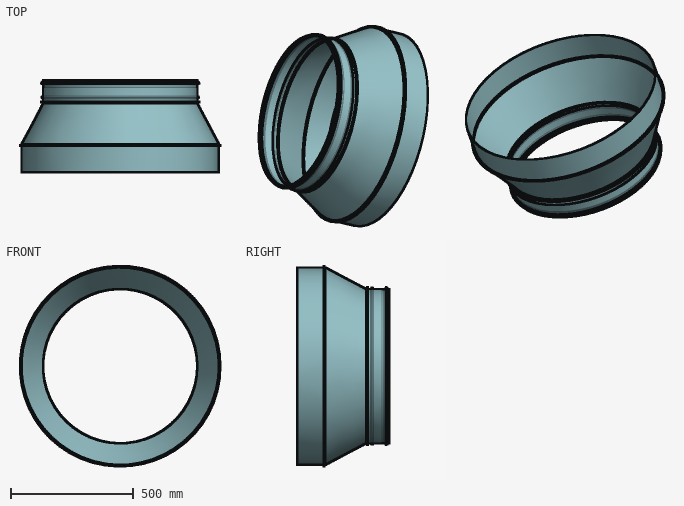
import cadquery as cq
import math


sheet = 1.2
seam_length = 3 * sheet

wide_od = 803.5
wide_seam_od = 816.0
wide_seam_y = 107.0
wide_r = wide_od / 2

cone_wide_y = 115.0
cone_narrow_y = 280.0

narrow_od = 629.0
narrow_seam_od = 643.0
narrow_seam_y = 287.0
spigot_end_y = 374.5
narrow_r = narrow_od / 2

bead_y = 304.0
bead_height = 5.0
bead_crest_r = 3.0
bead_root_r = 2.85

groove_od = 627.0
groove_r = groove_od / 2
groove_end_y = 368.0
groove_floor_y = 351.0
groove_start_y = 345.0

gasket_base_od = 631.0
gasket_body_od = 639.0
gasket_lip_od = 643.0
gasket_top_y = groove_end_y
gasket_body_top_y = 365.5
gasket_body_bottom_y = 362.0
gasket_lip_y = 360.5
gasket_bottom_y = 358.0


def ring(outline):
    """Turn a closed half section about the Y axis."""
    return outline.close().revolve(360, (0, 0, 0), (0, 1, 0))


def make_wide_collar():
    """Plain cylinder from Y = 0 with an outward flange at the seam."""
    flange_r = wide_seam_od / 2 - sheet
    flange_y = wide_seam_y + sheet
    return ring(
        cq.Workplane("XY")
        .moveTo(wide_r - sheet, 0)
        .lineTo(wide_r, 0)
        .lineTo(wide_r, flange_y)
        .lineTo(flange_r, flange_y)
        .lineTo(flange_r, flange_y + sheet)
        .lineTo(wide_r - sheet, flange_y + sheet)
    )


def make_cone():
    """Conical shell whose ends are folded around the flanges of the two collars."""
    wide_rim_r = wide_seam_od / 2
    narrow_rim_r = narrow_seam_od / 2
    wide_back_y = wide_seam_y + seam_length
    narrow_back_y = narrow_seam_y - seam_length
    return ring(
        cq.Workplane("XY")
        .moveTo(wide_r - sheet, wide_back_y - sheet)
        .lineTo(wide_rim_r - sheet, wide_back_y - sheet)
        .lineTo(wide_rim_r - sheet, wide_seam_y + sheet)
        .lineTo(wide_r, wide_seam_y + sheet)
        .lineTo(wide_r, wide_seam_y)
        .lineTo(wide_rim_r, wide_seam_y)
        .lineTo(wide_rim_r, wide_back_y)
        .lineTo(wide_r, wide_back_y)
        .lineTo(wide_r, cone_wide_y)
        .lineTo(narrow_r, cone_narrow_y)
        .lineTo(narrow_r, narrow_back_y)
        .lineTo(narrow_rim_r, narrow_back_y)
        .lineTo(narrow_rim_r, narrow_seam_y)
        .lineTo(narrow_r, narrow_seam_y)
        .lineTo(narrow_r, narrow_seam_y - sheet)
        .lineTo(narrow_rim_r - sheet, narrow_seam_y - sheet)
        .lineTo(narrow_rim_r - sheet, narrow_back_y + sheet)
        .lineTo(narrow_r - sheet, narrow_back_y + sheet)
        .lineTo(narrow_r - sheet, cone_narrow_y)
        .lineTo(wide_r - sheet, cone_wide_y)
    )


def add_bead(outline, wall_r, crest_r, root_r, direction):
    """Run an outline over one face of the bead; direction is +1 or -1 along Y."""
    bend = math.acos(1 - bead_height / (crest_r + root_r))
    half_width = (crest_r + root_r) * math.sin(bend)
    top_r = wall_r + bead_height

    def root_point(side, angle):
        return (
            wall_r + root_r * (1 - math.cos(angle)),
            bead_y + side * (half_width - root_r * math.sin(angle)),
        )

    return (
        outline.lineTo(*root_point(-direction, 0))
        .threePointArc(root_point(-direction, bend / 2), root_point(-direction, bend))
        .threePointArc((top_r, bead_y), root_point(direction, bend))
        .threePointArc(root_point(direction, bend / 2), root_point(direction, 0))
    )


def make_spigot():
    """Cylinder of even thickness with a seam flange, a bead and a gasket groove."""
    flange_r = narrow_seam_od / 2 - sheet
    flange_y = narrow_seam_y - sheet
    inner_r = narrow_r - sheet
    inner_groove_r = groove_r - sheet
    outline = (
        cq.Workplane("XY")
        .moveTo(inner_r, flange_y - sheet)
        .lineTo(flange_r, flange_y - sheet)
        .lineTo(flange_r, flange_y)
        .lineTo(narrow_r, flange_y)
    )
    outline = add_bead(outline, narrow_r, bead_crest_r, bead_root_r, 1)
    outline = (
        outline.lineTo(narrow_r, groove_start_y)
        .lineTo(groove_r, groove_floor_y)
        .lineTo(groove_r, groove_end_y)
        .lineTo(narrow_r, groove_end_y)
        .lineTo(narrow_r, spigot_end_y)
        .lineTo(inner_r, spigot_end_y)
        .lineTo(inner_r, groove_end_y + sheet)
        .lineTo(inner_groove_r, groove_end_y + sheet)
        .lineTo(inner_groove_r, groove_floor_y)
        .lineTo(inner_r, groove_start_y)
    )
    outline = add_bead(outline, inner_r, bead_crest_r - sheet, bead_root_r + sheet, -1)
    return ring(outline)


def make_gasket():
    """Rubber ring in the groove, with a pointed lip on the side away from the spigot end."""
    return ring(
        cq.Workplane("XY")
        .moveTo(groove_r, gasket_bottom_y)
        .lineTo(gasket_base_od / 2, gasket_bottom_y)
        .lineTo(gasket_lip_od / 2, gasket_lip_y)
        .lineTo(gasket_body_od / 2, gasket_body_bottom_y)
        .lineTo(gasket_body_od / 2, gasket_body_top_y)
        .lineTo(gasket_base_od / 2, gasket_top_y)
        .lineTo(groove_r, gasket_top_y)
    )


wide_collar = make_wide_collar()
cone = make_cone()
spigot = make_spigot()
gasket = make_gasket()

result = cq.Compound.makeCompound(
    [wide_collar.val(), cone.val(), spigot.val(), gasket.val()]
)